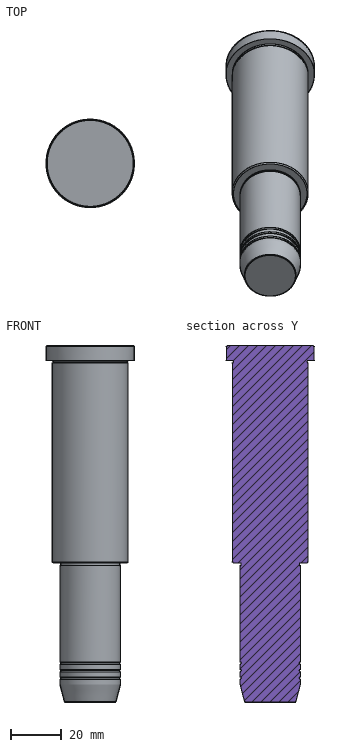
import cadquery as cq

total_length = 141.0
head_diameter = 35.0
head_height = 6.0
body_diameter = 30.0
shank_diameter = 24.0
shank_length = 55.0
edge_chamfer = 0.5

tip_diameter = 20.5
tip_chamfer = 0.3
tip_height = 7.0

relief_width = 1.0
relief_depth = 0.3

ring_count = 3
ring_width = 1.0
ring_depth = 0.5
ring_pitch = 3.0
first_ring_z = 9.6


def cylinder(diameter, bottom_z, top_z):
    """Solid cylinder on the Z axis between two heights."""
    return cq.Workplane("XY").workplane(offset=bottom_z).circle(diameter / 2).extrude(top_z - bottom_z)


def revolve_profile(points):
    """Solid made by turning a closed (radius, height) outline about the Z axis."""
    return cq.Workplane("XZ").polyline(points).close().revolve(360, (0, 0, 0), (0, 1, 0))


def lead_in():
    """Tapered tip that narrows from the shank to a chamfered flat end."""
    tip_radius = tip_diameter / 2
    return revolve_profile([
        (0, 0),
        (tip_radius - tip_chamfer, 0),
        (tip_radius, tip_chamfer),
        (shank_diameter / 2, tip_height),
        (0, tip_height),
    ])


def relief_groove(diameter, top_z):
    """Flat-bottomed ring to remove just below a shoulder."""
    return (
        cq.Workplane("XY")
        .workplane(offset=top_z - relief_width)
        .circle(diameter / 2)
        .circle(diameter / 2 - relief_depth)
        .extrude(relief_width)
    )


def ring_groove(diameter, middle_z):
    """V-shaped ring to remove, open at the cylinder surface."""
    radius = diameter / 2
    return revolve_profile([
        (radius, middle_z - ring_width / 2),
        (radius - ring_depth, middle_z),
        (radius, middle_z + ring_width / 2),
    ])


head_bottom_z = total_length - head_height

head = cylinder(head_diameter, head_bottom_z, total_length).faces(">Z").edges().chamfer(edge_chamfer)
body = cylinder(body_diameter, shank_length, head_bottom_z).faces("<Z").edges().chamfer(edge_chamfer)
shank = cylinder(shank_diameter, tip_height, shank_length)
pin = lead_in().union(shank).union(body).union(head)

pin = pin.cut(ring_groove(body_diameter, head_bottom_z - ring_width / 2))
pin = pin.cut(relief_groove(shank_diameter, shank_length))

for ring in range(ring_count):
    pin = pin.cut(ring_groove(shank_diameter, first_ring_z + ring * ring_pitch))

result = pin